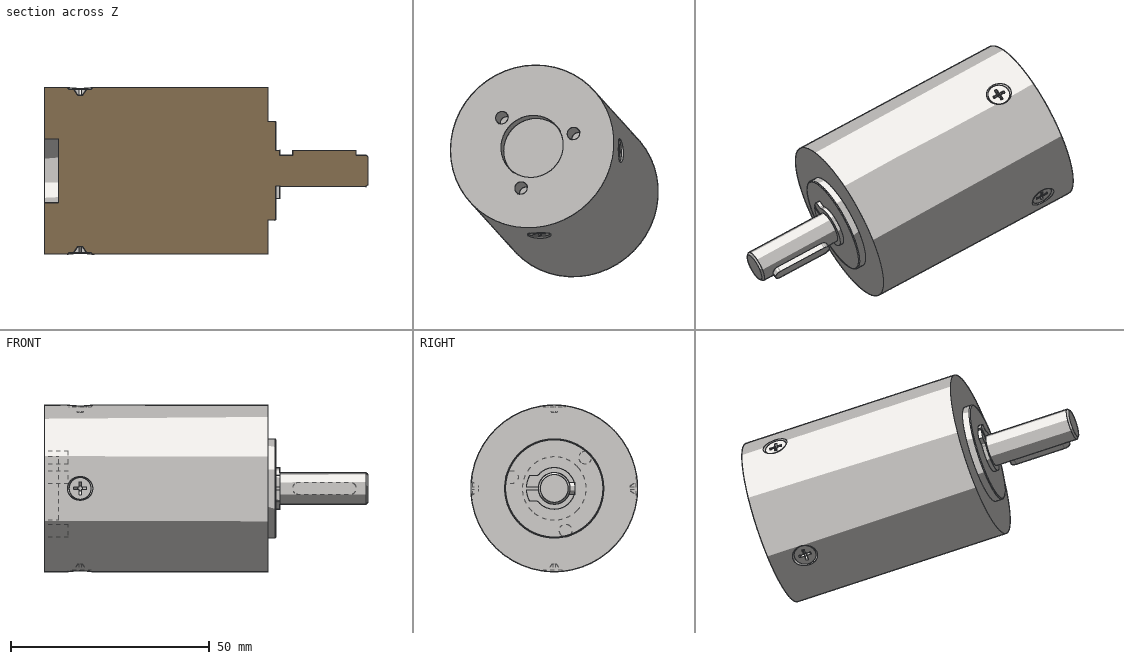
import cadquery as cq
import math


body_diameter = 42.0
body_length = 56.3
boss_diameter = 25.0
boss_length = 2.0
boss_chamfer = 0.25

rear_bore_diameter = 16.0
rear_bore_depth = 3.5
mount_hole_diameter = 3.2
mount_hole_depth = 6.0
mount_circle_radius = 11.0
mount_hole_count = 3
mount_first_angle = 45.0

shaft_diameter = 8.0
shaft_length = 25.2
shaft_chamfer = 0.5
groove_diameter = 7.6

key_width = 3.0
key_length = 16.0
key_height = 3.0
key_seat_depth = 1.8
key_end_gap = 3.0

ring_diameter = 10.5
ring_thickness = 1.0
ring_gap = 0.75
lug_span = 6.38
lug_tip_diameter = 14.0
lug_root_radius = 0.8

screw_position = 9.0
screw_count = 4
screw_head_diameter = 5.5
screw_head_sink = 0.45
recess_span = 3.24
recess_floor_diameter = 1.2
recess_width = 0.6
recess_depth = 1.5

body_radius = body_diameter / 2
shaft_radius = shaft_diameter / 2
boss_face = body_length + boss_length
shaft_end = body_length + shaft_length


def cylinder_x(diameter, start, length):
    """Cylinder on the X axis."""
    return cq.Workplane("YZ").workplane(offset=start).circle(diameter / 2).extrude(length)


def make_housing():
    body = cylinder_x(body_diameter, 0, body_length)
    boss = cylinder_x(boss_diameter, body_length, boss_length)
    return body.union(boss.faces(">X").chamfer(boss_chamfer))


def make_shaft():
    shaft = cylinder_x(shaft_diameter, body_length, shaft_length).faces(">X").chamfer(shaft_chamfer)
    groove = cylinder_x(shaft_diameter, boss_face, ring_thickness)
    groove = groove.cut(cylinder_x(groove_diameter, boss_face, ring_thickness))
    return shaft.cut(groove)


def make_key():
    key_center = shaft_end - key_end_gap - key_length / 2
    seat = shaft_radius - key_seat_depth
    return (
        cq.Workplane("XZ", origin=(key_center, seat, 0))
        .slot2D(key_length, key_width)
        .extrude(-key_height)
    )


def make_retaining_ring():
    ring = cylinder_x(ring_diameter, boss_face, ring_thickness)
    lug_reach = lug_tip_diameter / 2
    lug_plane = cq.Workplane("YZ", origin=(boss_face, -lug_reach / 2, 0))
    lugs = lug_plane.rect(lug_reach, lug_span).extrude(ring_thickness)
    lugs = lugs.intersect(cylinder_x(lug_tip_diameter, boss_face, ring_thickness))
    root_y = -math.sqrt((ring_diameter / 2) ** 2 - (lug_span / 2) ** 2)
    middle = boss_face + ring_thickness / 2
    root_reach = 0.1
    roots = cq.selectors.BoxSelector(
        (middle - root_reach, root_y - root_reach, -lug_span),
        (middle + root_reach, root_y + root_reach, lug_span),
    )
    ring = ring.union(lugs).edges(roots).fillet(lug_root_radius)
    gap = lug_plane.rect(lug_reach, ring_gap).extrude(ring_thickness)
    return ring.cut(gap).cut(cylinder_x(groove_diameter, boss_face, ring_thickness))


def rear_cuts():
    bore = cylinder_x(rear_bore_diameter, 0, rear_bore_depth)
    holes = (
        cq.Workplane("YZ")
        .polarArray(mount_circle_radius, mount_first_angle, 360, mount_hole_count)
        .circle(mount_hole_diameter / 2)
        .extrude(mount_hole_depth)
    )
    return bore.union(holes)


def cone_z(bottom_diameter, top_diameter, bottom, height):
    """Truncated cone on the screw axis, standing along Z."""
    start = cq.Vector(screw_position, 0, bottom)
    return cq.Workplane("XY").add(
        cq.Solid.makeCone(bottom_diameter / 2, top_diameter / 2, height, start, cq.Vector(0, 0, 1))
    )


def screw_cut():
    """Countersink down to a flat screw head with a tapered cross recess, on the +Z side."""
    head_level = body_radius - screw_head_sink
    rim_diameter = screw_head_diameter + 2 * screw_head_sink
    countersink = cone_z(screw_head_diameter, rim_diameter, head_level, screw_head_sink)
    recess_floor = head_level - recess_depth
    recess_plane = cq.Workplane("XY", origin=(screw_position, 0, recess_floor))
    cross = recess_plane.rect(recess_span, recess_width).extrude(recess_depth)
    cross = cross.union(recess_plane.rect(recess_width, recess_span).extrude(recess_depth))
    taper = cone_z(recess_floor_diameter, recess_span, recess_floor, recess_depth)
    return countersink.union(cross.intersect(taper))


result = make_housing().union(make_shaft()).union(make_key()).union(make_retaining_ring())
result = result.cut(rear_cuts())
for index in range(screw_count):
    result = result.cut(screw_cut().rotate((0, 0, 0), (1, 0, 0), index * 360 / screw_count))